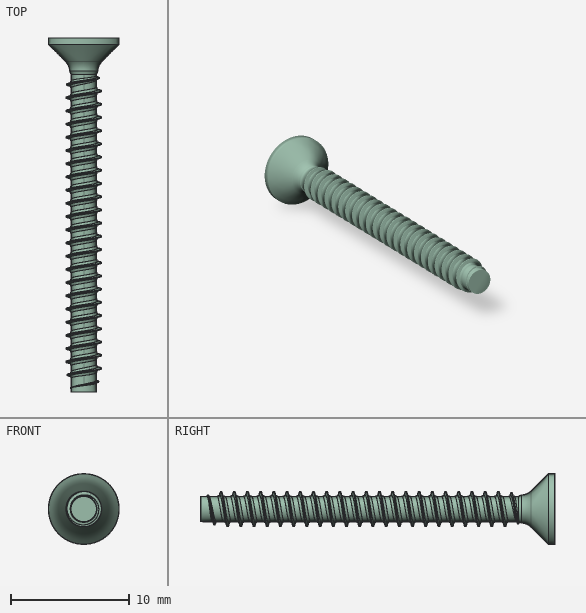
import cadquery as cq
import math

length = 30.0
head_radius = 3.0
head_rim = 0.55
neck_fillet_radius = 1.15
neck_radius = 1.2
core_radius = 1.08
neck_taper = 0.27

first_crest_depth = 3.65
last_crest_depth = 29.4
turns_between_crests = 23
pitch = (last_crest_depth - first_crest_depth) / turns_between_crests
crest_radius = 1.5
root_radius = core_radius - 0.03
root_half_width = 0.42
flank_radius = 1.17
flank_half_width = 0.105
crest_half_width = 0.03
thread_start = 2.4
full_start = 4.05
full_end = 28.2
thread_end = 29.95
end_scale = 0.05
points_per_turn = 24

y_face = length / 2


def make_body():
    """Head, neck and threadless core as one revolved outline."""
    slant = math.sqrt(0.5)
    fillet_center = neck_radius + neck_fillet_radius
    fillet_top_radius = fillet_center - neck_fillet_radius * slant
    y_rim = y_face - head_rim
    y_fillet_top = y_rim - (head_radius - fillet_top_radius)
    y_fillet_end = y_fillet_top - neck_fillet_radius * slant
    mid_angle = math.pi / 8
    fillet_mid = (
        fillet_center - neck_fillet_radius * math.cos(mid_angle),
        y_fillet_end + neck_fillet_radius * math.sin(mid_angle),
    )
    return (
        cq.Workplane("ZY")
        .moveTo(0, y_face)
        .lineTo(head_radius, y_face)
        .lineTo(head_radius, y_rim)
        .lineTo(fillet_top_radius, y_fillet_top)
        .threePointArc(fillet_mid, (neck_radius, y_fillet_end))
        .lineTo(core_radius, y_fillet_end - neck_taper)
        .lineTo(core_radius, y_face - length)
        .lineTo(0, y_face - length)
        .close()
        .revolve(360, (0, 0, 0), (0, 1, 0))
        .val()
    )


def thread_scale(depth):
    """Size of the thread section: full in the middle, shrinking linearly at both ends."""
    if depth < full_start:
        fraction = (depth - thread_start) / (full_start - thread_start)
    elif depth > full_end:
        fraction = (thread_end - depth) / (thread_end - full_end)
    else:
        fraction = 1.0
    return end_scale + (1 - end_scale) * fraction


def thread_point(depth, radius, offset):
    """Point of the thread where the section centre is at the given depth."""
    scale = thread_scale(depth)
    angle = 2 * math.pi * (depth - first_crest_depth) / pitch
    scaled_radius = root_radius + (radius - root_radius) * scale
    return cq.Vector(
        -scaled_radius * math.sin(angle),
        y_face - depth - offset * scale,
        scaled_radius * math.cos(angle),
    )


def make_thread():
    """Closed solid whose faces are ruled between the helical edges of the section."""
    section = [
        (root_radius, -root_half_width),
        (flank_radius, -flank_half_width),
        (crest_radius, -crest_half_width),
        (crest_radius, crest_half_width),
        (flank_radius, flank_half_width),
        (root_radius, root_half_width),
    ]
    faces = []
    stations = [thread_start, full_start, full_end, thread_end]
    for first, last in zip(stations, stations[1:]):
        steps = math.ceil((last - first) / pitch * points_per_turn)
        depths = [first + (last - first) * i / steps for i in range(steps + 1)]
        edges = []
        for radius, offset in section:
            points = [thread_point(depth, radius, offset) for depth in depths]
            edges.append(cq.Edge.makeSpline(points))
        for edge, next_edge in zip(edges, edges[1:] + edges[:1]):
            faces.append(cq.Face.makeRuledSurface(edge, next_edge))
    for depth in (thread_start, thread_end):
        corners = [thread_point(depth, radius, offset) for radius, offset in section]
        faces.append(cq.Face.makeFromWires(cq.Wire.makePolygon(corners, close=True)))
    return cq.Solid.makeSolid(cq.Shell.makeShell(faces))


result = cq.Workplane(make_body()).union(cq.Workplane(make_thread())).solids()